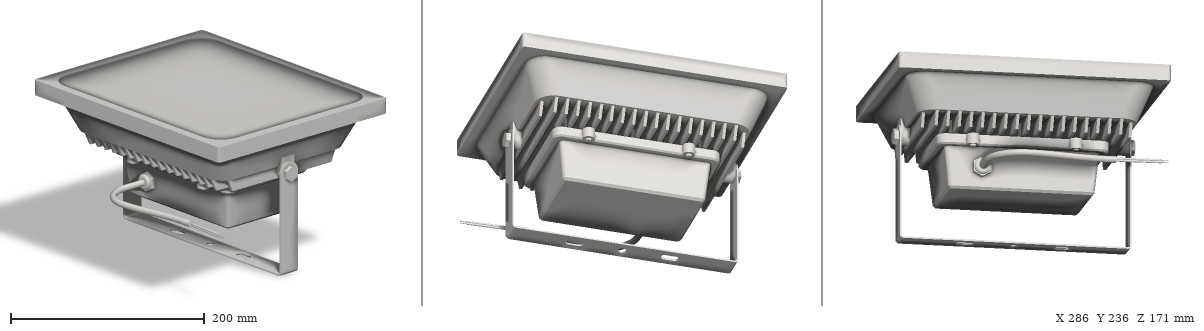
import cadquery as cq
import math


FRAME_X = 286.0
FRAME_Y = 233.0
FRAME_DEPTH = 17.0
FRAME_CORNER = 3.5
GLASS_X = 263.0
GLASS_Y = 212.8
GLASS_CORNER = 24.5
GLASS_RECESS = 2.3

TRAY_BOTTOM = 52.5
TRAY_TOP_X = 260.3
TRAY_TOP_Y = 209.4
TRAY_BOTTOM_X = 231.0
TRAY_BOTTOM_Y = 178.5
TRAY_CORNER = 20.5

FIN_COUNT = 19
FIN_SPAN = 218.2
FIN_PITCH = FIN_SPAN / (FIN_COUNT - 1)
FIN_THICKNESS = 3.1
FIN_BOTTOM = 67.2
FIN_TOP_Y = 173.3
FIN_BOTTOM_Y = 159.5
END_FIN_TOP_Y = 148.7
END_FIN_BOTTOM_Y = 136.7

PLATE_X = 180.8
PLATE_Y = 115.0
PLATE_TOP = 69.2
PLATE_BOTTOM = 80.0
PLATE_CORNER = 10.0
PLATE_CHAMFER = 1.7
POST_DIAMETER = 9.0
POST_SPACING_X = 6 * FIN_PITCH
POST_Y = 44.0
EAR_X = 54.0
EAR_Y = 58.3
EAR_RADIUS = 6.5
SCREW_DIAMETER = 6.3
SCREW_BOTTOM = 82.5
SCREW_BEVEL = 1.0
BOX_TOP_X = 163.0
BOX_TOP_Y = 97.8
BOX_BOTTOM_X = 154.0
BOX_BOTTOM_Y = 90.5
BOX_BOTTOM = 123.8
BOX_CORNER = 4.5
BOX_CHAMFER = 2.5

GLAND_X = -42.5
CABLE_Z = -101.0
GLAND_NUT_CORNERS = 21.5
GLAND_NUT_BEVEL = 1.1
GLAND_NUT_END = 52.3
GLAND_CAP_DIAMETER = 17.2
GLAND_CAP_END = 55.8
GLAND_CAP_EDGE = 3.1
GLAND_ROOT = 43.0
CABLE_DIAMETER = 7.0
CABLE_BEND = 35.2
OVERALL_Y = 236.0
CABLE_STRAIGHT_END = OVERALL_Y - FRAME_Y / 2 - CABLE_DIAMETER / 2 - CABLE_BEND
CABLE_SWAY = (37.2, -109.3)
CABLE_END = (87.0, -105.0)
WIRE_DIAMETER = 2.3
WIRE_PITCH = 2.0
WIRE_END = (134.5, -107.0)
CORE_DIAMETER = 1.1
CORE_END = (141.5, -107.5)

STRAP_WIDTH = 24.3
STRAP_THICKNESS = 1.7
STRAP_BEND = 4.0
BRACKET_X = 243.7
BRACKET_BOTTOM = 171.0
PIVOT_Z = -60.3
LUG_WIDTH = 17.0
LUG_TOP = 41.8
LUG_INNER_X = 110.5
BOLT_DIAMETER = 7.5
BOLT_HEAD_CORNERS = 17.0
BOLT_HEAD_END = 126.7
SLOT_SPACING = 51.2
SLOT_LENGTH = 19.2
SLOT_WIDTH = 9.0

BRACKET_INNER_X = BRACKET_X / 2 - STRAP_THICKNESS


def rounded_block(size_x, size_y, corner, top, bottom):
    """Upright block with rounded vertical edges between two depths."""
    block = cq.Workplane("XY").workplane(offset=-bottom).rect(size_x, size_y).extrude(bottom - top)
    return block.edges("|Z").fillet(corner)


def rounded_loft(top_size, bottom_size, top_corner, bottom_corner, top, bottom):
    """Block that runs from one rounded rectangle to another."""
    upper = cq.Sketch().rect(*top_size).vertices().fillet(top_corner)
    lower = cq.Sketch().rect(*bottom_size).vertices().fillet(bottom_corner)
    lower = lower.moved(cq.Location(cq.Vector(0, 0, top - bottom)))
    return cq.Workplane("XY").workplane(offset=-top).placeSketch(upper, lower).loft(ruled=True)


def upright_cylinder(x, y, diameter, top, bottom):
    base = cq.Workplane("XY", origin=(x, y, -bottom))
    return base.circle(diameter / 2).extrude(bottom - top)


def make_frame():
    frame = rounded_block(FRAME_X, FRAME_Y, FRAME_CORNER, 0, FRAME_DEPTH)
    return frame.cut(rounded_block(GLASS_X, GLASS_Y, GLASS_CORNER, 0, GLASS_RECESS))


def make_tray():
    top_size = (TRAY_TOP_X, TRAY_TOP_Y)
    bottom_size = (TRAY_BOTTOM_X, TRAY_BOTTOM_Y)
    return rounded_loft(top_size, bottom_size, TRAY_CORNER, TRAY_CORNER, FRAME_DEPTH, TRAY_BOTTOM)


def make_fin(index):
    """Upright fin with sloping ends; the two outermost fins are shorter."""
    is_end = index in (0, FIN_COUNT - 1)
    top_y = END_FIN_TOP_Y if is_end else FIN_TOP_Y
    bottom_y = END_FIN_BOTTOM_Y if is_end else FIN_BOTTOM_Y
    x = index * FIN_PITCH - FIN_SPAN / 2
    outline = [
        (-top_y / 2, -TRAY_BOTTOM),
        (top_y / 2, -TRAY_BOTTOM),
        (bottom_y / 2, -FIN_BOTTOM),
        (-bottom_y / 2, -FIN_BOTTOM),
    ]
    fin = cq.Workplane("YZ", origin=(x, 0, 0)).polyline(outline).close()
    return fin.extrude(FIN_THICKNESS / 2, both=True)


def make_driver_box():
    """Tapered box of constant corner radius with a bevelled bottom edge."""
    top_size = (BOX_TOP_X, BOX_TOP_Y)
    bottom_size = (BOX_BOTTOM_X, BOX_BOTTOM_Y)
    base_size = (BOX_BOTTOM_X - 2 * BOX_CHAMFER, BOX_BOTTOM_Y - 2 * BOX_CHAMFER)
    wall_bottom = BOX_BOTTOM - BOX_CHAMFER
    walls = rounded_loft(top_size, bottom_size, BOX_CORNER, BOX_CORNER, PLATE_BOTTOM, wall_bottom)
    base_corner = BOX_CORNER - BOX_CHAMFER
    bevel = rounded_loft(bottom_size, base_size, BOX_CORNER, base_corner, wall_bottom, BOX_BOTTOM)
    return walls.union(bevel)


def make_driver_case():
    case = rounded_block(PLATE_X, PLATE_Y, PLATE_CORNER, PLATE_TOP, PLATE_BOTTOM)
    case = case.faces("<Z").edges().chamfer(PLATE_CHAMFER)
    case = case.union(make_driver_box())
    for side_y in (-1, 1):
        for side_x in (-1, 1):
            x = side_x * EAR_X
            y = side_y * EAR_Y
            case = case.union(upright_cylinder(x, y, 2 * EAR_RADIUS, PLATE_TOP, PLATE_BOTTOM))
            screw = upright_cylinder(x, y, SCREW_DIAMETER, PLATE_BOTTOM, SCREW_BOTTOM)
            case = case.union(screw.faces("<Z").edges().chamfer(SCREW_BEVEL))
        for column in (-1, 0, 1):
            x = column * POST_SPACING_X
            case = case.union(upright_cylinder(x, side_y * POST_Y, POST_DIAMETER, TRAY_BOTTOM, PLATE_TOP))
    return case


def make_gland():
    root = cq.Workplane("XZ", origin=(GLAND_X, -GLAND_ROOT, CABLE_Z))
    nut_length = GLAND_NUT_END - GLAND_ROOT
    nut = root.transformed(rotate=(0, 0, 90)).polygon(6, GLAND_NUT_CORNERS).extrude(nut_length)
    bevel = root.circle(GLAND_NUT_CORNERS / 2).extrude(nut_length).faces("<Y").chamfer(GLAND_NUT_BEVEL)
    nut = nut.intersect(bevel)
    cap = root.circle(GLAND_CAP_DIAMETER / 2).extrude(GLAND_CAP_END - GLAND_ROOT)
    return nut.union(cap.faces("<Y").edges().fillet(GLAND_CAP_EDGE))


def make_lead(start, end, height, diameter):
    """Straight level lead at a given height."""
    run_x = end[0] - start[0]
    run_y = end[1] - start[1]
    plane = cq.Plane(origin=(*start, height), xDir=(0, 0, 1), normal=(run_x, run_y, 0))
    return cq.Workplane(plane).circle(diameter / 2).extrude(math.hypot(run_x, run_y))


def make_cable():
    """Cable that bends a quarter turn, sways back and ends in two wires with bare cores."""
    bend_end = (GLAND_X + CABLE_BEND, -CABLE_STRAIGHT_END - CABLE_BEND)
    bend_middle = (
        GLAND_X + CABLE_BEND * (1 - math.cos(math.pi / 4)),
        -CABLE_STRAIGHT_END - CABLE_BEND * math.sin(math.pi / 4),
    )
    wire_run = (WIRE_END[0] - CABLE_END[0], WIRE_END[1] - CABLE_END[1])
    path = (
        cq.Workplane("XY", origin=(0, 0, CABLE_Z))
        .moveTo(GLAND_X, -GLAND_CAP_END)
        .lineTo(GLAND_X, -CABLE_STRAIGHT_END)
        .threePointArc(bend_middle, bend_end)
        .spline([CABLE_SWAY, CABLE_END], tangents=[(1, 0), wire_run], includeCurrent=True)
    )
    profile = cq.Workplane("XZ", origin=(GLAND_X, -GLAND_CAP_END, CABLE_Z)).circle(CABLE_DIAMETER / 2)
    cable = profile.sweep(path)
    for side in (-1, 1):
        height = CABLE_Z + side * WIRE_PITCH / 2
        cable = cable.union(make_lead(CABLE_END, WIRE_END, height, WIRE_DIAMETER))
        cable = cable.union(make_lead(WIRE_END, CORE_END, height, CORE_DIAMETER))
    return cable


def make_pivot():
    """Lug, bolt shank and hexagon head on the +X side."""
    lug_length = BRACKET_INNER_X - LUG_INNER_X
    lug_height = -LUG_TOP - PIVOT_Z
    axis = cq.Workplane("YZ", origin=(LUG_INNER_X, 0, PIVOT_Z))
    lug = axis.circle(LUG_WIDTH / 2).extrude(lug_length)
    lug = lug.union(axis.center(0, lug_height / 2).rect(LUG_WIDTH, lug_height).extrude(lug_length))
    shank = axis.circle(BOLT_DIAMETER / 2).extrude(BRACKET_X / 2 - LUG_INNER_X)
    head_plane = cq.Workplane("YZ", origin=(BRACKET_X / 2, 0, PIVOT_Z)).transformed(rotate=(0, 0, 90))
    head = head_plane.polygon(6, BOLT_HEAD_CORNERS).extrude(BOLT_HEAD_END - BRACKET_X / 2)
    return lug.union(shank).union(head)


def make_floodlight():
    light = make_frame().union(make_tray())
    for index in range(FIN_COUNT):
        light = light.union(make_fin(index))
    light = light.union(make_driver_case()).union(make_gland()).union(make_cable())
    pivot = make_pivot()
    return light.union(pivot).union(pivot.mirror("YZ"))


def make_bracket():
    """Bent strap with rounded ends, pivot holes and mounting holes in its base."""
    leg_height = PIVOT_Z + BRACKET_BOTTOM
    blank = cq.Workplane("XZ", origin=(0, STRAP_WIDTH / 2, PIVOT_Z - leg_height / 2))
    outer = blank.rect(BRACKET_X, leg_height).extrude(STRAP_WIDTH).edges("|Y and <Z").fillet(STRAP_BEND)
    inner = blank.rect(2 * BRACKET_INNER_X, leg_height).extrude(STRAP_WIDTH)
    inner = inner.edges("|Y and <Z").fillet(STRAP_BEND - STRAP_THICKNESS)
    strap = outer.cut(inner.translate((0, 0, STRAP_THICKNESS)))
    for inner_x in (BRACKET_INNER_X, -BRACKET_X / 2):
        leg_end = cq.Workplane("YZ", origin=(inner_x, 0, PIVOT_Z))
        strap = strap.union(leg_end.circle(STRAP_WIDTH / 2).extrude(STRAP_THICKNESS))
        strap = strap.cut(leg_end.circle(BOLT_DIAMETER / 2).extrude(STRAP_THICKNESS))
    base = cq.Workplane("XY", origin=(0, 0, -BRACKET_BOTTOM))
    slots = base.pushPoints([(-SLOT_SPACING, 0), (SLOT_SPACING, 0)]).slot2D(SLOT_LENGTH, SLOT_WIDTH)
    strap = strap.cut(slots.extrude(STRAP_THICKNESS))
    return strap.cut(base.circle(SLOT_WIDTH / 2).extrude(STRAP_THICKNESS))


floodlight = make_floodlight()
bracket = make_bracket()
result = cq.Compound.makeCompound([floodlight.val(), bracket.val()])